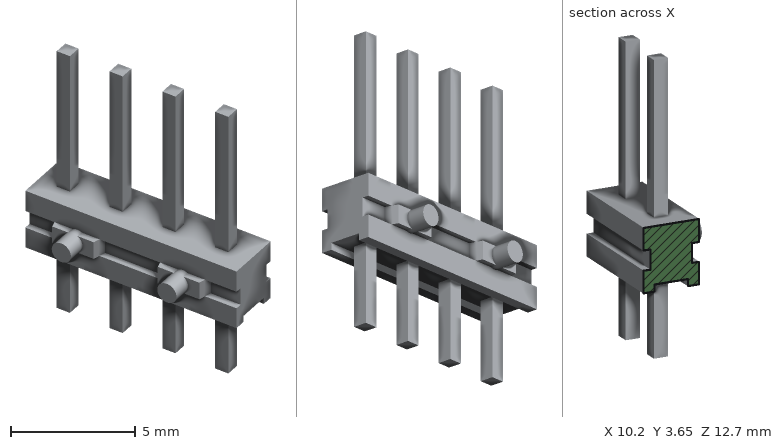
import cadquery as cq

HOUSING_LENGTH = 10.16
HOUSING_DEPTH = 2.5
HOUSING_HEIGHT = 2.8
HOUSING_SHIFT = 0.055

FRONT_GROOVE_BOTTOM = 0.98
FRONT_GROOVE_TOP = 1.8
REAR_GROOVE_HEIGHT = 0.84
FRONT_GROOVE_DEPTH = 0.3
REAR_GROOVE_DEPTH = 0.3
FOOT_WIDTH = 0.5
FOOT_HEIGHT = 0.3

PIN_COUNT = 4
PIN_PITCH = 2.54
PIN_SIDE = 0.635
PIN_LENGTH = 12.7
PIN_BELOW_HOUSING = 3.2

PEG_DIAMETER = 0.92
PEG_PROJECTION = 1.15
PEG_OFFSETS = (-PIN_PITCH, PIN_PITCH)
BLOCK_PROJECTION = 0.3
BLOCK_TIP_WIDTH = 2.0
BLOCK_ROOT_WIDTH = 2.32

FRONT_FACE_Y = -HOUSING_DEPTH / 2
REAR_FACE_Y = HOUSING_DEPTH / 2
GROOVE_FLOOR_Y = FRONT_FACE_Y + FRONT_GROOVE_DEPTH
HOUSING_MID_Z = HOUSING_HEIGHT / 2


def make_housing():
    """Extrude the grooved cross-section along X."""
    rear_floor_y = REAR_FACE_Y - REAR_GROOVE_DEPTH
    rear_groove_bottom = HOUSING_MID_Z - REAR_GROOVE_HEIGHT / 2
    rear_groove_top = HOUSING_MID_Z + REAR_GROOVE_HEIGHT / 2
    profile = [
        (FRONT_FACE_Y, 0),
        (FRONT_FACE_Y, FRONT_GROOVE_BOTTOM),
        (GROOVE_FLOOR_Y, FRONT_GROOVE_BOTTOM),
        (GROOVE_FLOOR_Y, FRONT_GROOVE_TOP),
        (FRONT_FACE_Y, FRONT_GROOVE_TOP),
        (FRONT_FACE_Y, HOUSING_HEIGHT),
        (REAR_FACE_Y, HOUSING_HEIGHT),
        (REAR_FACE_Y, rear_groove_top),
        (rear_floor_y, rear_groove_top),
        (rear_floor_y, rear_groove_bottom),
        (REAR_FACE_Y, rear_groove_bottom),
        (REAR_FACE_Y, 0),
        (REAR_FACE_Y - FOOT_WIDTH, 0),
        (REAR_FACE_Y - FOOT_WIDTH, FOOT_HEIGHT),
        (FRONT_FACE_Y + FOOT_WIDTH, FOOT_HEIGHT),
        (FRONT_FACE_Y + FOOT_WIDTH, 0),
    ]
    bar = cq.Workplane("YZ").polyline(profile).close().extrude(HOUSING_LENGTH)
    return bar.translate((HOUSING_SHIFT - HOUSING_LENGTH / 2, 0, 0))


def make_pin(x):
    """Square pin running vertically through the housing."""
    pin = cq.Workplane("XY").rect(PIN_SIDE, PIN_SIDE).extrude(PIN_LENGTH)
    return pin.translate((x, 0, -PIN_BELOW_HOUSING))


def make_block(x):
    """Block filling the groove height, narrowing from the groove floor to its tip."""
    tip_y = FRONT_FACE_Y - BLOCK_PROJECTION
    outline = [
        (x - BLOCK_ROOT_WIDTH / 2, GROOVE_FLOOR_Y),
        (x - BLOCK_TIP_WIDTH / 2, tip_y),
        (x + BLOCK_TIP_WIDTH / 2, tip_y),
        (x + BLOCK_ROOT_WIDTH / 2, GROOVE_FLOOR_Y),
    ]
    height = FRONT_GROOVE_TOP - FRONT_GROOVE_BOTTOM
    block = cq.Workplane("XY").polyline(outline).close().extrude(height)
    return block.translate((0, 0, FRONT_GROOVE_BOTTOM))


def make_peg(x):
    """Round peg pointing toward -Y, rooted in the groove floor."""
    peg = cq.Workplane("XZ").circle(PEG_DIAMETER / 2).extrude(FRONT_GROOVE_DEPTH + PEG_PROJECTION)
    return peg.translate((x, GROOVE_FLOOR_Y, HOUSING_MID_Z))


result = make_housing()
for index in range(PIN_COUNT):
    result = result.union(make_pin((index - (PIN_COUNT - 1) / 2) * PIN_PITCH))
for peg_x in PEG_OFFSETS:
    result = result.union(make_block(peg_x)).union(make_peg(peg_x))